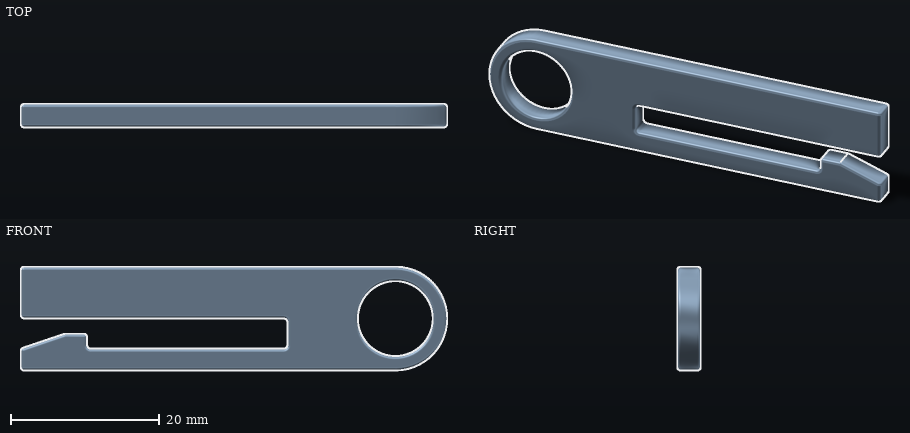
import cadquery as cq

length = 57.55
thickness = 3.2
height = 14.05
ring_hole_diameter = 10.05
edge_radius = 0.5

slot_end_x = 35.95
slot_floor_z = -4.0
slot_roof_z = 0.0

hook_top_z = -2.0
hook_back_x = 9.0
ramp_top_x = 6.0
nose_z = slot_floor_z

ring_radius = height / 2
ring_center_x = length - ring_radius


def clip_profile():
    """Closed outline of the round-ended bar with its open slot and hook."""
    return (
        cq.Workplane("XZ", origin=(0, thickness / 2, 0))
        .moveTo(0, ring_radius)
        .lineTo(ring_center_x, ring_radius)
        .threePointArc((length, 0), (ring_center_x, -ring_radius))
        .lineTo(0, -ring_radius)
        .lineTo(0, nose_z)
        .lineTo(ramp_top_x, hook_top_z)
        .lineTo(hook_back_x, hook_top_z)
        .lineTo(hook_back_x, slot_floor_z)
        .lineTo(slot_end_x, slot_floor_z)
        .lineTo(slot_end_x, slot_roof_z)
        .lineTo(0, slot_roof_z)
        .close()
    )


def ring_hole():
    """Cylinder through the thickness, concentric with the round end."""
    return (
        cq.Workplane("XZ", origin=(0, thickness / 2, 0))
        .center(ring_center_x, 0)
        .circle(ring_hole_diameter / 2)
        .extrude(thickness)
    )


def corner_edges(body):
    """Edges across the thickness to be rounded: all but the ramp crest and the tangent round end."""
    tolerance = 0.05
    crest = cq.selectors.BoxSelector(
        (ramp_top_x - tolerance, -thickness, hook_top_z - tolerance),
        (ramp_top_x + tolerance, thickness, hook_top_z + tolerance),
    )
    round_end = cq.selectors.BoxSelector(
        (ring_center_x - ring_radius, -thickness, -height),
        (length + tolerance, thickness, height),
    )
    return body.edges(cq.selectors.StringSyntaxSelector("|Y") - crest - round_end)


bar = clip_profile().extrude(thickness).cut(ring_hole())

rounded_edges = corner_edges(bar).add(bar.faces("<Y or >Y").edges())
result = bar.newObject(rounded_edges.vals()).fillet(edge_radius)